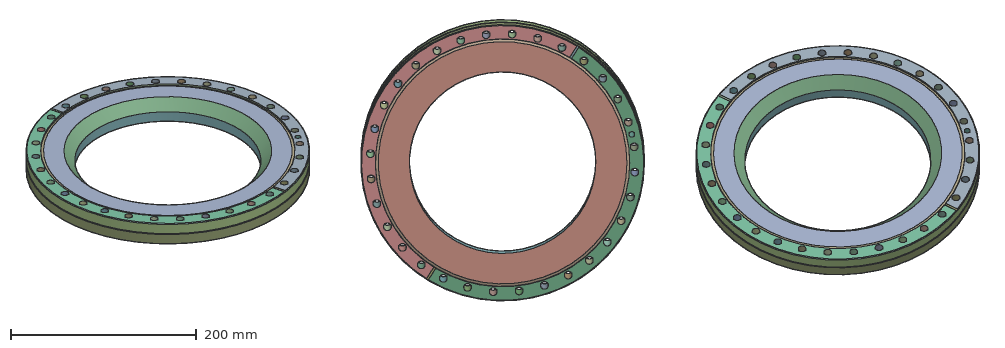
import cadquery as cq
import math

flange_radius = 152.5
thickness = 26.0
edge_chamfer = 1.0

bore_radius = 100.0
mouth_radius = 111.5

seat_radius = 136.5
knife_radius = 133.5
face_recess = 0.98
knife_height = 1.07

rim_groove_width = 1.2
rim_groove_depth = 0.5

bolt_count = 32
bolt_circle_radius = 142.3
bolt_hole_diameter = 8.2
small_hole_diameter = 6.0
small_hole_pitch = 4.5

leak_groove_width = 2.5
leak_groove_depth = 0.75

half_thickness = thickness / 2
face_height = half_thickness - face_recess
seat_foot_height = face_height - knife_height
bolt_pitch_angle = 360 / bolt_count
rim_chamfer_radius = flange_radius - edge_chamfer
rim_chamfer_height = half_thickness - edge_chamfer
rim_groove_half = rim_groove_width / 2


def polar_point(radius, angle):
    return (radius * math.cos(math.radians(angle)), radius * math.sin(math.radians(angle)))


def flange_ring():
    """Revolved section: both faces carry a knife-edge seat; the bore tapers open
    upward from mid-height.
    """
    outer_half = [
        (mouth_radius, face_height),
        (knife_radius, face_height),
        (seat_radius, seat_foot_height),
        (seat_radius, half_thickness),
        (rim_chamfer_radius, half_thickness),
        (flange_radius, rim_chamfer_height),
        (flange_radius, rim_groove_half),
    ]
    mirrored_half = [(radius, -height) for radius, height in reversed(outer_half[1:])]
    rim_groove_root = [(flange_radius - rim_groove_depth, 0)]
    bore = [(bore_radius, -face_height), (bore_radius, 0)]
    section = cq.Workplane("XZ").polyline(outer_half + rim_groove_root + mirrored_half + bore).close()
    return section.revolve(360, (0, 0, 0), (0, 1, 0))


def through_holes(points, diameter):
    return (
        cq.Workplane("XY", origin=(0, 0, -half_thickness))
        .pushPoints(points)
        .circle(diameter / 2)
        .extrude(thickness)
    )


def leak_groove(angle, face_side):
    """Radial round-bottomed check groove from the seat wall out through the rim, on one face."""
    start = (knife_radius + seat_radius) / 2
    end = flange_radius + edge_chamfer
    half_width = leak_groove_width / 2
    return (
        cq.Workplane("YZ", origin=(start, 0, face_side * half_thickness))
        .moveTo(-half_width, face_side * half_width)
        .lineTo(-half_width, 0)
        .threePointArc((0, -face_side * leak_groove_depth), (half_width, 0))
        .lineTo(half_width, face_side * half_width)
        .close()
        .extrude(end - start)
        .rotate((0, 0, 0), (0, 0, 1), angle)
    )


bolt_points = [polar_point(bolt_circle_radius, i * bolt_pitch_angle) for i in range(bolt_count)]
small_hole_point = polar_point(bolt_circle_radius, small_hole_pitch * bolt_pitch_angle)

result = flange_ring()
result = result.cut(through_holes(bolt_points, bolt_hole_diameter))
result = result.cut(through_holes([small_hole_point], small_hole_diameter))

for groove_angle in (bolt_pitch_angle / 2, 180 + bolt_pitch_angle / 2):
    for face_side in (1, -1):
        result = result.cut(leak_groove(groove_angle, face_side))